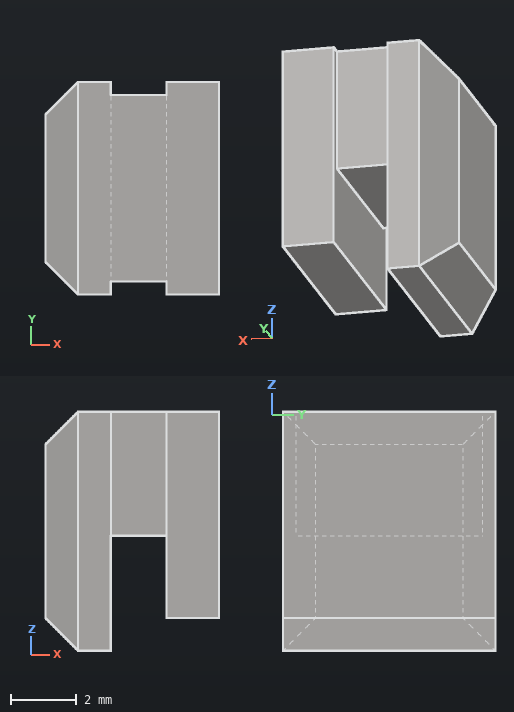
import cadquery as cq

length = 5.3
width = 6.5
height = 7.3

bevel = 1.0
front_plate_thickness = 2 * bevel

neck_length = 1.69
side_groove_depth = 0.4
neck_bottom = 3.51

rear_plate_bottom = bevel


def block(x_start, x_end, block_width, z_bottom):
    """Box centred on Y that reaches up to the top face."""
    x_size = x_end - x_start
    z_size = height - z_bottom
    box = cq.Workplane("XY").box(x_size, block_width, z_size, centered=(False, True, False))
    return box.translate((x_start, 0, z_bottom))


rear_plate_start = front_plate_thickness + neck_length

front_plate = block(0, front_plate_thickness, width, 0).faces("<X").chamfer(bevel)
neck = block(front_plate_thickness, rear_plate_start, width - 2 * side_groove_depth, neck_bottom)
rear_plate = block(rear_plate_start, length, width, rear_plate_bottom)

result = front_plate.union(neck).union(rear_plate)